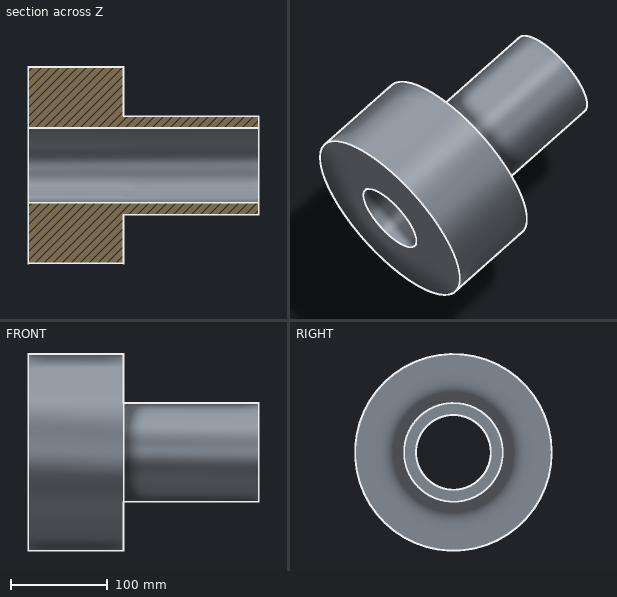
import cadquery as cq

total_length = 238.1
head_length = 98.5
head_diameter = 203.0
shank_diameter = 102.0
bore_diameter = 77.0


def cylinder_along_x(diameter, length):
    """Solid cylinder on the X axis, starting at X = 0."""
    return cq.Workplane("YZ").circle(diameter / 2).extrude(length)


head = cylinder_along_x(head_diameter, head_length)
shank = cylinder_along_x(shank_diameter, total_length)
through_bore = cylinder_along_x(bore_diameter, total_length)

result = head.union(shank).cut(through_bore)